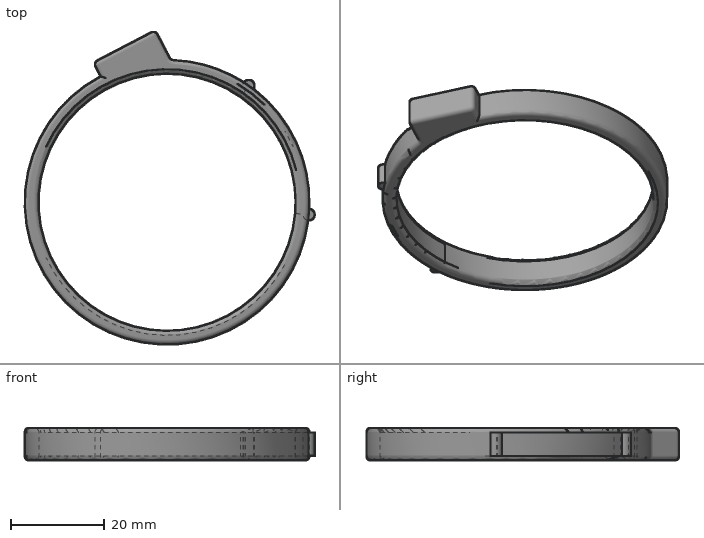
import cadquery as cq
import math

RING_INNER_RADIUS = 27.5
RING_OUTER_RADIUS = 30.5
RING_HEIGHT = 7.0
EDGE_RADIUS = 1.0

BLOCK_ANGLE = 117.5
BLOCK_LENGTH = 15.0
BLOCK_FACE_DISTANCE = 33.85
BLOCK_LEFT_OVERHANG = 0.2
BLEND_RADIUS = 1.0

INSERT_START_ANGLE = -5.0
INSERT_END_ANGLE = 55.0
KNUCKLE_DIAMETER = 2.5
INSERT_HEIGHT = RING_HEIGHT - 2 * EDGE_RADIUS


def polar(radius, angle):
    """Point at the given radius and angle (degrees) about the ring axis."""
    return (radius * math.cos(math.radians(angle)), radius * math.sin(math.radians(angle)))


def cylinder(radius, height):
    return cq.Workplane("XY").circle(radius).extrude(height)


def make_block():
    """Block with rounded outer corners, reaching inward to the ring axis until the bore trims it."""
    return (
        cq.Workplane("XY")
        .box(BLOCK_FACE_DISTANCE, BLOCK_LENGTH, RING_HEIGHT, centered=False)
        .edges("|Z and >X")
        .fillet(EDGE_RADIUS)
        .translate((0, BLOCK_LEFT_OVERHANG - BLOCK_LENGTH, 0))
        .rotate((0, 0, 0), (0, 0, 1), BLOCK_ANGLE)
    )


def make_insert():
    """Sector of the straight wall between the rounded rims, with its two end knuckles."""
    middle_angle = (INSERT_START_ANGLE + INSERT_END_ANGLE) / 2
    sector = (
        cq.Workplane("XY", origin=(0, 0, EDGE_RADIUS))
        .moveTo(*polar(RING_INNER_RADIUS, INSERT_START_ANGLE))
        .lineTo(*polar(RING_OUTER_RADIUS, INSERT_START_ANGLE))
        .threePointArc(
            polar(RING_OUTER_RADIUS, middle_angle),
            polar(RING_OUTER_RADIUS, INSERT_END_ANGLE),
        )
        .lineTo(*polar(RING_INNER_RADIUS, INSERT_END_ANGLE))
        .threePointArc(
            polar(RING_INNER_RADIUS, middle_angle),
            polar(RING_INNER_RADIUS, INSERT_START_ANGLE),
        )
        .close()
        .extrude(INSERT_HEIGHT)
    )
    end_angles = (INSERT_START_ANGLE, INSERT_END_ANGLE)
    knuckle_centers = [polar(RING_OUTER_RADIUS, angle) for angle in end_angles]
    knuckles = (
        cq.Workplane("XY", origin=(0, 0, EDGE_RADIUS))
        .pushPoints(knuckle_centers)
        .circle(KNUCKLE_DIAMETER / 2)
        .extrude(INSERT_HEIGHT)
    )
    return sector.union(knuckles)


def make_ring(insert):
    """Band and block with rounded rims, and a pocket that the insert fills."""
    body = cylinder(RING_OUTER_RADIUS, RING_HEIGHT).union(make_block())
    blend_side = BLOCK_LEFT_OVERHANG - BLOCK_LENGTH
    blend_angle = BLOCK_ANGLE + math.degrees(math.asin(blend_side / RING_OUTER_RADIUS))
    blend_corner = (*polar(RING_OUTER_RADIUS, blend_angle), RING_HEIGHT / 2)
    body = body.edges(cq.selectors.NearestToPointSelector(blend_corner)).fillet(BLEND_RADIUS)
    body = body.cut(cylinder(RING_INNER_RADIUS, RING_HEIGHT))
    body = body.faces("<Z or >Z").edges().fillet(EDGE_RADIUS)
    return body.cut(insert)


insert = make_insert()
ring = make_ring(insert)

result = cq.Compound.makeCompound([ring.solids().val(), insert.solids().val()])